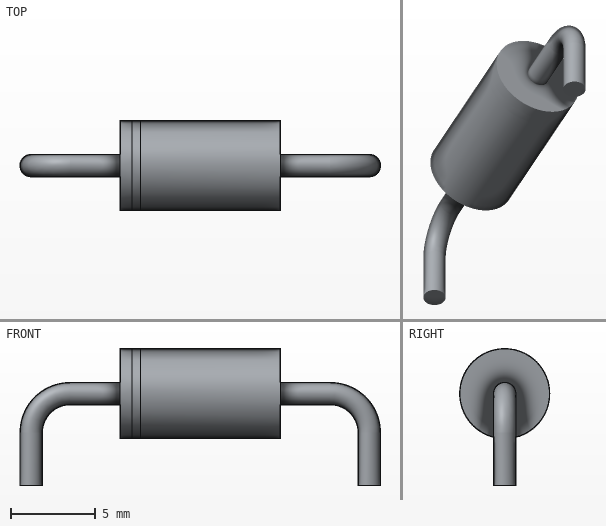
import cadquery as cq

body_length = 9.5
body_diameter = 5.35

groove_diameter = 5.32
band_width = 0.5
band_end_gap = 0.7

overall_length = 21.38
overall_height = 8.12
wire_diameter = 1.33
bend_radius = 2.3

body_end_x = body_length / 2
leg_x = (overall_length - wire_diameter) / 2
band_start_x = -body_end_x + band_end_gap
bend_start_x = leg_x - bend_radius
leg_bottom_z = body_diameter / 2 - overall_height


def cylinder_along_x(diameter, start_x, length):
    return cq.Workplane("YZ", origin=(start_x, 0, 0)).circle(diameter / 2).extrude(length)


def make_band():
    ring = cylinder_along_x(body_diameter, band_start_x, band_width)
    core = cylinder_along_x(groove_diameter, band_start_x, band_width)
    return ring.cut(core)


def make_body(band):
    barrel = cylinder_along_x(body_diameter, -body_end_x, body_length)
    return barrel.cut(band)


def make_lead(side):
    """Lead on the +X side (side = 1) or on the -X side (side = -1)."""
    path = (
        cq.Workplane("XZ")
        .moveTo(side * body_end_x, 0)
        .lineTo(side * bend_start_x, 0)
        .tangentArcPoint((side * leg_x, -bend_radius), relative=False)
        .lineTo(side * leg_x, leg_bottom_z)
    )
    profile = cq.Workplane("YZ", origin=(side * body_end_x, 0, 0)).circle(wire_diameter / 2)
    return profile.sweep(path)


band = make_band()
body = make_body(band)
leads = [make_lead(side) for side in (-1, 1)]

result = cq.Compound.makeCompound([body.val(), band.val(), *[lead.val() for lead in leads]])